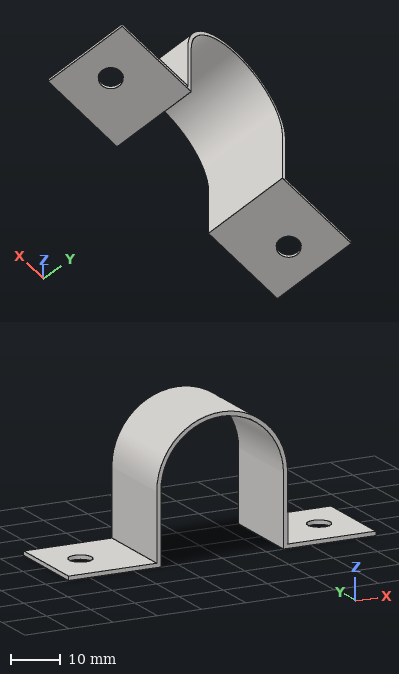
import cadquery as cq

length = 69.6
width = 20.0
height = 30.8
thickness = 1.0
outer_radius = 14.8
hole_diameter = 5.0
hole_spacing = 54.0

half_length = length / 2
inner_radius = outer_radius - thickness
arch_center_z = height - outer_radius


def make_strap():
    """Bent sheet: two flat feet, two upright legs and a half-round arch."""
    profile = (
        cq.Workplane("XZ")
        .moveTo(-half_length, 0)
        .lineTo(-inner_radius, 0)
        .lineTo(-inner_radius, arch_center_z)
        .threePointArc((0, arch_center_z + inner_radius), (inner_radius, arch_center_z))
        .lineTo(inner_radius, 0)
        .lineTo(half_length, 0)
        .lineTo(half_length, thickness)
        .lineTo(outer_radius, thickness)
        .lineTo(outer_radius, arch_center_z)
        .threePointArc((0, height), (-outer_radius, arch_center_z))
        .lineTo(-outer_radius, thickness)
        .lineTo(-half_length, thickness)
        .close()
    )
    return profile.extrude(width / 2, both=True)


def make_hole_cutters():
    """One vertical cylinder through each foot."""
    return (
        cq.Workplane("XY")
        .pushPoints([(side * hole_spacing / 2, 0) for side in (-1, 1)])
        .circle(hole_diameter / 2)
        .extrude(thickness)
    )


result = make_strap().cut(make_hole_cutters())